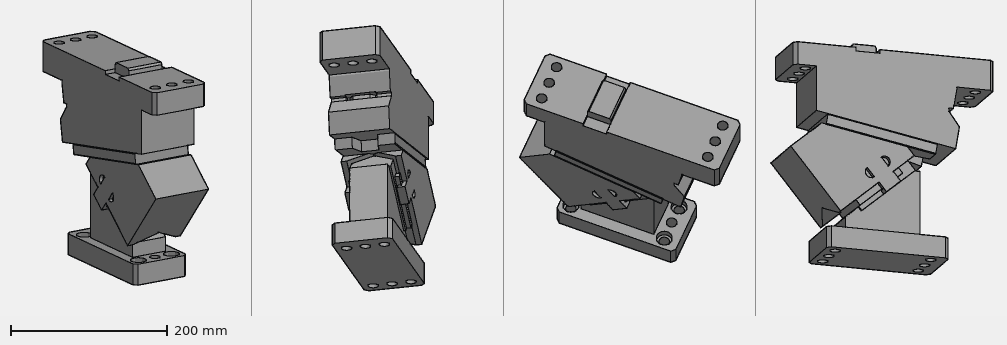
import cadquery as cq
import math

width = 80.0
corner_chamfer = 5.0
hole_dia = 13.5
hole_pitch = 25.0
hole_inset = 20.0
through = 558.0

upper_length = 270.0
upper_top = 270.0
left_flange_bottom = 230.0
right_flange_bottom = 240.0
neck_left = 50.2
neck_step = 3.0
neck_right = 240.0
ledge_z = 201.0
notch_x = 60.8
notch_low_z = 196.7
hook_tip = (46.5, 177.0)
tilt = 10.0
bearing_x, bearing_z = 51.5, 147.3

recess_width = 40.7
recess_depth = 5.5
recess_rise = 1.0
tongue_root = 34.0
tongue_tip = 23.0

slot_x = 154.0
slot_width = 32.6
slot_depth = 5.0
key_top = 279.0
key_length = 50.2
key_chamfer_x = 2.0
key_chamfer_z = 3.0

plate_offset = 25.0
plate_length = 150.0
plate_thickness = 14.5
plate_chamfer = 1.0
plate_notch_depth = 25.0
plate_notch_mouth = 34.0
plate_notch_floor = 23.0

ramp = 40.0
ramp_x, ramp_z = 107.7, 132.8
slider_length = 130.0
slider_height = 105.0
vee_width = 64.7
vee_angle = 30.0
vee_flat = 1.7
pocket_radius = 7.3
pocket_spacing = 24.8
pocket_depth = 5.5
pocket_s, pocket_n = 50.5, 16.5

leg_start = 37.0
leg_length = 25.0
leg_drop = 15.5
leg_gap_width = 68.5
hook_gap_width = 57.5
hook_top = -10.0

rail_start = 5.9
rail_end = 100.2
rail_width = 55.2
rail_bottom = -15.5
flange_start = 25.0
flange_width = 67.0
flange_bottom = -9.0

base_left = 60.3
base_length = 164.3
base_height = 28.2
column_left = 94.9
column_right = 195.5
column_width = 50.2
column_top = 117.2
base_inset_left = 20.0
base_inset_right = 15.0
counterbore_dia = 20.5
counterbore_depth = 9.0

half = width / 2
tan_tilt = math.tan(math.radians(tilt))
sin_ramp = math.sin(math.radians(ramp))
cos_ramp = math.cos(math.radians(ramp))
vee_slope = math.tan(math.radians(vee_angle))
vee_height = (vee_width - vee_flat) / 2 * vee_slope


def ramp_section(s):
    """Plane square to the ramp, s along it: local x is Y, local y points out of the ramp."""
    origin = (ramp_x + s * cos_ramp, 0, ramp_z - s * sin_ramp)
    return cq.Plane(origin=origin, xDir=(0, 1, 0), normal=(cos_ramp, 0, -sin_ramp))


def ramp_side(y):
    """Plane facing -Y at the given y: local x runs down the ramp, local y out of it."""
    return cq.Plane(origin=(ramp_x, y, ramp_z), xDir=(cos_ramp, 0, -sin_ramp), normal=(0, -1, 0))


def side_profile(points, depth):
    """Extrude an XZ outline symmetrically about Y = 0."""
    return cq.Workplane("XZ").polyline(points).close().extrude(depth / 2, both=True)


def ramp_bar(points, start, end):
    """Extrude a cross-section along the ramp from start to end."""
    return cq.Workplane(ramp_section(start)).polyline(points).close().extrude(end - start)


def ramp_box(bar_width, low, high, start, end):
    w = bar_width / 2
    return ramp_bar([(-w, low), (w, low), (w, high), (-w, high)], start, end)


def hole_row(x):
    return [(x, i * hole_pitch) for i in (-1, 0, 1)]


def bearing_face(offset_x):
    """Height of the upper block's bearing face at a horizontal distance from its low corner."""
    return bearing_z + offset_x * tan_tilt


def upper_outline():
    slope_top = left_flange_bottom - neck_step
    neck_end_x = neck_left + (slope_top - ledge_z) * tan_tilt
    return [
        (0, upper_top),
        (0, left_flange_bottom),
        (neck_left, left_flange_bottom),
        (neck_left, slope_top),
        (neck_end_x, ledge_z),
        (notch_x, ledge_z),
        (notch_x, notch_low_z),
        hook_tip,
        (bearing_x, bearing_z),
        (neck_right, bearing_face(neck_right - bearing_x)),
        (neck_right, right_flange_bottom),
        (upper_length, right_flange_bottom),
        (upper_length, upper_top),
    ]


def chamfer_end_corners(body, x_left, x_right):
    """Chamfer the four vertical corners at the two ends of a plate."""
    for x in (x_left, x_right):
        reach = 0.3
        box = cq.selectors.BoxSelector((x - reach, -width, 0), (x + reach, width, upper_top))
        body = body.edges(box).edges("|Z").chamfer(corner_chamfer)
    return body


def make_key():
    right = slot_x + slot_width
    floor = upper_top - slot_depth
    outline = [
        (slot_x, floor),
        (slot_x, key_top - key_chamfer_z),
        (slot_x + key_chamfer_x, key_top),
        (right - key_chamfer_x, key_top),
        (right, key_top - key_chamfer_z),
        (right, floor),
    ]
    return side_profile(outline, key_length)


def tapered_prism(start_width, end_width, depth, height):
    """Upright trapezoid centred on Y = 0, from start_width at X = 0 to end_width at X = depth."""
    points = [
        (0, -start_width / 2),
        (depth, -end_width / 2),
        (depth, end_width / 2),
        (0, start_width / 2),
    ]
    return cq.Workplane("XY").polyline(points).close().extrude(height)


def make_notch_recess():
    height = ledge_z + recess_rise - notch_low_z
    recess = cq.Workplane("XY").box(
        recess_depth, recess_width, height, centered=(False, True, False)
    )
    tongue = tapered_prism(tongue_tip, tongue_root, recess_depth, height)
    recess = recess.cut(tongue).translate((notch_x, 0, notch_low_z))
    relief_length = notch_x - neck_left
    relief = cq.Workplane("XY").box(
        relief_length, recess_width, recess_rise, centered=(False, True, False)
    )
    return recess.union(relief.translate((neck_left, 0, ledge_z)))


def make_wear_plate():
    """Plate built flat, then hung under the XY plane and tilted onto the bearing face."""
    plate = cq.Workplane("XY").box(
        plate_length, width, plate_thickness, centered=(False, True, False)
    )
    plate = plate.faces("<Z or >Z").edges("|X").chamfer(plate_chamfer)
    notch = tapered_prism(
        plate_notch_mouth, plate_notch_floor, plate_notch_depth, plate_thickness
    )
    plate = plate.cut(notch)
    plate = plate.translate((plate_offset, 0, -plate_thickness))
    plate = plate.rotate((0, 0, 0), (0, 1, 0), -tilt)
    return plate.translate((bearing_x, 0, bearing_z))


def make_upper_block():
    block = chamfer_end_corners(side_profile(upper_outline(), width), 0, upper_length)
    slot = cq.Workplane("XY").box(slot_width, width, slot_depth, centered=(False, True, False))
    block = block.cut(slot.translate((slot_x, 0, upper_top - slot_depth)))
    block = block.cut(make_notch_recess())
    centres = hole_row(hole_inset) + hole_row(upper_length - hole_inset)
    holes = cq.Workplane("XY").workplane(offset=left_flange_bottom).pushPoints(centres)
    block = block.cut(holes.circle(hole_dia / 2).extrude(upper_top - left_flange_bottom))
    return block.union(make_key()).union(make_wear_plate())


def vee_points(bar_width, low):
    """Roof-shaped section: upright sides from low, then the vee slopes up to the flat."""
    w = bar_width / 2
    eave = (vee_width - bar_width) / 2 * vee_slope
    return [
        (-w, low),
        (w, low),
        (w, eave),
        (vee_flat / 2, vee_height),
        (-vee_flat / 2, vee_height),
        (-w, eave),
    ]


def make_keeper_legs():
    leg_end = leg_start + leg_length
    legs = ramp_box(width, -leg_drop, 0, leg_start, leg_end)
    legs = legs.cut(ramp_box(leg_gap_width, hook_top, 0, leg_start, leg_end))
    return legs.cut(ramp_box(hook_gap_width, -leg_drop, 0, leg_start, leg_end))


def make_half_round_pocket(y, direction):
    """Half-round pocket cut inward from the side at y, bulging toward direction along the ramp."""
    flat = pocket_s + direction * pocket_spacing / 2
    inward = pocket_depth if y < 0 else -pocket_depth
    return (
        cq.Workplane(ramp_side(y))
        .moveTo(flat, pocket_n - pocket_radius)
        .threePointArc((flat + direction * pocket_radius, pocket_n), (flat, pocket_n + pocket_radius))
        .close()
        .extrude(-inward)
    )


def make_slider():
    slider = ramp_box(width, 0, slider_height, 0, slider_length)
    plate_drop = plate_thickness / math.cos(math.radians(tilt))
    cutter = [
        (0, bearing_face(-bearing_x) - plate_drop),
        (through, bearing_face(through - bearing_x) - plate_drop),
        (0, through),
    ]
    slider = slider.cut(side_profile(cutter, width))
    slider = slider.cut(ramp_bar(vee_points(vee_width, 0)[2:], 0, slider_length))
    slider = slider.union(make_keeper_legs())
    for y in (-half, half):
        for direction in (-1, 1):
            slider = slider.cut(make_half_round_pocket(y, direction))
    return slider


def make_column():
    def ramp_height(x):
        """Height at x of the plane level with the underside of the rail flanges."""
        return ramp_z + (flange_bottom - (x - ramp_x) * sin_ramp) / cos_ramp

    shoulder_x = ramp_x + (flange_bottom - (column_top - ramp_z) * cos_ramp) / sin_ramp
    outline = [
        (column_left, base_height),
        (column_left, column_top),
        (shoulder_x, column_top),
        (column_right, ramp_height(column_right)),
        (column_right, base_height),
    ]
    return side_profile(outline, column_width)


def make_rail():
    rail = ramp_bar(vee_points(rail_width, rail_bottom), rail_start, rail_end)
    return rail.union(ramp_box(flange_width, flange_bottom, 0, flange_start, rail_end))


def make_base():
    plate = cq.Workplane("XY").box(base_length, width, base_height, centered=(False, True, False))
    plate = plate.edges("|Z").chamfer(corner_chamfer)
    for x in (base_inset_left, base_length - base_inset_right):
        for _, y in hole_row(x):
            hole = cq.Workplane("XY").center(x, y).circle(hole_dia / 2).extrude(base_height)
            plate = plate.cut(hole)
            if y != 0:
                bore = cq.Workplane("XY").center(x, y).circle(counterbore_dia / 2)
                bore = bore.extrude(counterbore_depth)
                plate = plate.cut(bore.translate((0, 0, base_height - counterbore_depth)))
    plate = plate.translate((base_left, 0, 0))
    return plate.union(make_column()).union(make_rail())


upper_block = make_upper_block()
slider = make_slider()
base = make_base()

result = cq.Compound.makeCompound([body.solids().val() for body in (upper_block, slider, base)])